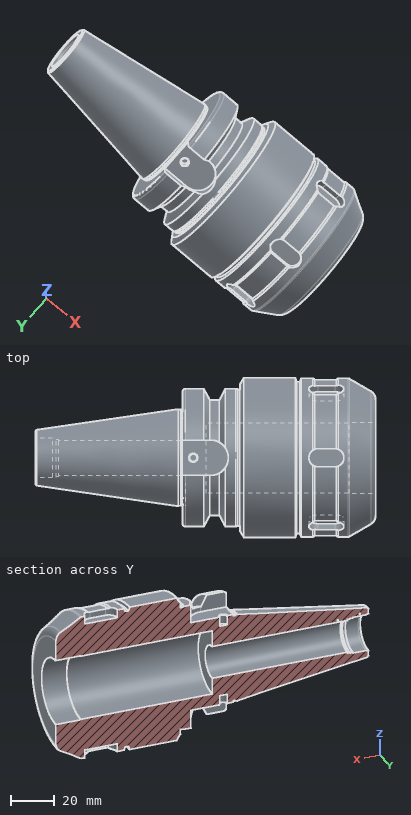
import cadquery as cq
import math


length = 155.4

taper_ratio = 7 / 24
gauge_d = 44.5
gauge_x = 65.3
neck_d = 44.1
shank_end_d = gauge_d - gauge_x * taper_ratio
shank_chamfer = 0.6
relief_x = 66.4
relief_d = 43.5

flange_x = 67.1
flange_d = 63.1
flange_round = 1.4
v_floor_d = 52.8
v_start_x = 77.0
v_floor_start_x = 79.7
v_floor_end_x = 84.0
v_end_x = 86.7
flange_end_x = 91.5
collar_x = 92.5
collar_d = 62.5

body_x = 93.4
body_d = 73.0
body_face_d = 67.1
body_bevel = 1.9
joint_d = 69.5
joint_start_x = 119.3
joint_end_x = 120.7
joint_bevel = 0.6

nut_d = 72.5
band_d = 71.5
band_start_x = 126.7
band_end_x = 138.3
band_bevel = 1.0
nose_x = 143.0
nose_angle = 30.0
nose_round = 4.7
nose_corner_round = 1.4

slot_count = 6
slot_length = 16.0
slot_width = 8.2
slot_x = 132.9
slot_floor_r = 32.3

key_width = 16.2
key_end_x = 88.1
key_floor_z = 22.5

pin_x = 72.1
pin_d = 3.4
pin_mouth_d = 4.0
pin_depth = 4.7

rear_bore_d = 18.0
rear_mouth_d = 18.8
rear_mouth_depth = 1.4
rear_bore_depth = 7.8
rear_step_d = 17.4
rear_step_depth = 9.3
thread_d = 17.0
thread_depth = 10.4
through_d = 16.0
grip_d = 32.0
grip_depth = 77.7
grip_mouth_d = 32.5
grip_mouth_depth = 12.5


def revolve(profile):
    """Close a half profile and turn it about the X axis."""
    return profile.close().revolve(360, (0, 0, 0), (1, 0, 0))


def round_rim(part, x, radius):
    """Fillet the largest circular edge lying in the plane at x."""
    reach = 0.02
    near = cq.selectors.BoxSelector(
        (x - reach, -body_d, -body_d), (x + reach, body_d, body_d), boundingbox=True)
    outermost = cq.selectors.RadiusNthSelector(-1)
    return part.edges(near).edges("%CIRCLE").edges(outermost).fillet(radius)


def turned_outside():
    """Solid outer shape of shank, flange, body and nut."""
    nose_d = nut_d - 2 * (length - nose_x) * math.tan(math.radians(nose_angle))
    steps = [
        (0, shank_end_d - 2 * shank_chamfer),
        (shank_chamfer, shank_end_d + shank_chamfer * taper_ratio),
        (gauge_x, gauge_d),
        (gauge_x, neck_d),
        (relief_x, neck_d),
        (relief_x, relief_d),
        (flange_x, relief_d),
        (flange_x, flange_d),
        (v_start_x, flange_d),
        (v_floor_start_x, v_floor_d),
        (v_floor_end_x, v_floor_d),
        (v_end_x, flange_d),
        (flange_end_x, flange_d),
        (collar_x, collar_d),
        (body_x, collar_d),
        (body_x, body_face_d),
        (body_x + body_bevel, body_d),
        (joint_start_x - joint_bevel, body_d),
        (joint_start_x, joint_d),
        (joint_end_x, joint_d),
        (joint_end_x + joint_bevel, nut_d),
        (band_start_x, nut_d),
        (band_start_x + band_bevel, band_d),
        (band_end_x - band_bevel, band_d),
        (band_end_x, nut_d),
        (nose_x, nut_d),
        (length, nose_d),
    ]
    points = [(x, d / 2) for x, d in steps]
    solid = revolve(cq.Workplane("XY").polyline([(0, 0)] + points + [(length, 0)]))

    solid = round_rim(solid, flange_x, flange_round)
    solid = round_rim(solid, nose_x, nose_corner_round)
    return round_rim(solid, length, nose_round)


def bore():
    """Stepped bore along the whole axis."""
    grip_x = length - grip_depth
    steps = [
        (0, rear_mouth_d),
        (rear_mouth_depth, rear_bore_d),
        (rear_bore_depth, rear_bore_d),
        (rear_bore_depth, rear_step_d),
        (rear_step_depth, rear_step_d),
        (rear_step_depth, thread_d),
        (thread_depth, thread_d),
        (thread_depth, through_d),
        (grip_x, through_d),
        (grip_x, grip_d),
        (length - grip_mouth_depth, grip_d),
        (length - grip_mouth_depth, grip_mouth_d),
        (length, grip_mouth_d),
    ]
    points = [(x, d / 2) for x, d in steps]
    return revolve(cq.Workplane("XY").polyline([(0, 0)] + points + [(length, 0)]))


def wrench_slot(index):
    """Flat-bottomed round-ended slot in the rim of the nut."""
    return (
        cq.Workplane("XY", origin=(slot_x, 0, slot_floor_r))
        .slot2D(slot_length, slot_width)
        .extrude(nut_d / 2 - slot_floor_r)
        .rotate((0, 0, 0), (1, 0, 0), index * 360 / slot_count)
    )


def keyway():
    """Drive keyway at +Z, open to the rear, with its floor hole."""
    half = key_width / 2
    slot = (
        cq.Workplane("XY", origin=(0, 0, key_floor_z))
        .moveTo(flange_x, -half)
        .lineTo(key_end_x - half, -half)
        .threePointArc((key_end_x, 0), (key_end_x - half, half))
        .lineTo(flange_x, half)
        .close()
        .extrude(flange_d / 2 - key_floor_z)
    )
    pin_r = pin_d / 2
    mouth_r = pin_mouth_d / 2
    hole = cq.Workplane("XY", origin=(pin_x, 0, key_floor_z)).circle(pin_r).extrude(-pin_depth)
    mouth = cq.Workplane(cq.Solid.makeCone(
        mouth_r, pin_r, mouth_r - pin_r, cq.Vector(pin_x, 0, key_floor_z), cq.Vector(0, 0, -1)))
    return slot.union(hole).union(mouth)


result = turned_outside().cut(bore())
for slot_index in range(slot_count):
    result = result.cut(wrench_slot(slot_index))
for key_angle in (0, 180):
    result = result.cut(keyway().rotate((0, 0, 0), (1, 0, 0), key_angle))